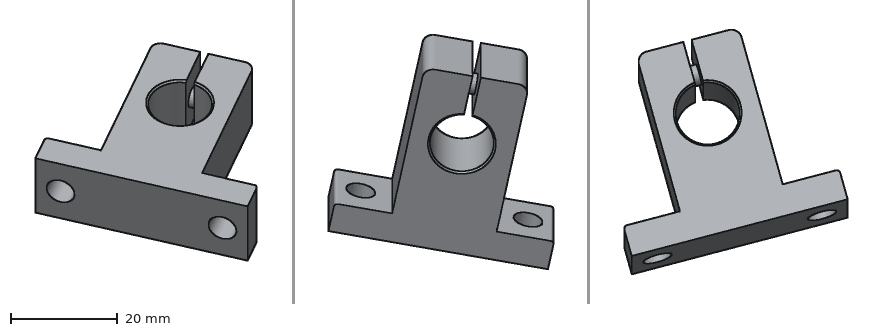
import cadquery as cq

base_width = 42.0
total_height = 37.5
depth = 14.0
base_thickness = 6.0
post_width = 20.0
post_corner_radius = 2.0
base_corner_radius = 0.7

bore_diameter = 12.0
bore_height = 23.0
bore_chamfer = 0.38
slot_width = 1.6

screw_diameter = 4.0
screw_height = 32.35
screw_embed = 0.85

mount_hole_diameter = 5.5
mount_hole_spacing = 32.0


def box_on_mounting_face(width, height):
    """Full-depth block centred in X and Z, standing on the plane Y = 0."""
    return cq.Workplane("XY").box(width, height, depth, centered=(True, False, True))


def make_body():
    base = box_on_mounting_face(base_width, base_thickness)
    base = base.edges("|Z and >Y").fillet(base_corner_radius)
    post = box_on_mounting_face(post_width, total_height)
    post = post.edges("|Z and >Y").fillet(post_corner_radius)
    return base.union(post)


def cut_bore_and_slot(body):
    bore = cq.Workplane("XY").center(0, bore_height).circle(bore_diameter / 2)
    body = body.cut(bore.extrude(depth / 2, both=True))
    rims = body.edges("%CIRCLE").edges(cq.selectors.RadiusNthSelector(-1))
    body = rims.chamfer(bore_chamfer)
    slot_length = total_height - bore_height
    slot = box_on_mounting_face(slot_width, slot_length).translate((0, bore_height, 0))
    return body.cut(slot)


def make_clamp_screw():
    half_length = slot_width / 2 + screw_embed
    screw = cq.Workplane("YZ", origin=(-half_length, screw_height, 0))
    return screw.circle(screw_diameter / 2).extrude(2 * half_length)


def make_mounting_holes():
    holes = cq.Workplane("XZ").pushPoints(
        [(side * mount_hole_spacing / 2, 0) for side in (-1, 1)]
    )
    return holes.circle(mount_hole_diameter / 2).extrude(-base_thickness)


result = (
    cut_bore_and_slot(make_body())
    .union(make_clamp_screw())
    .cut(make_mounting_holes())
)